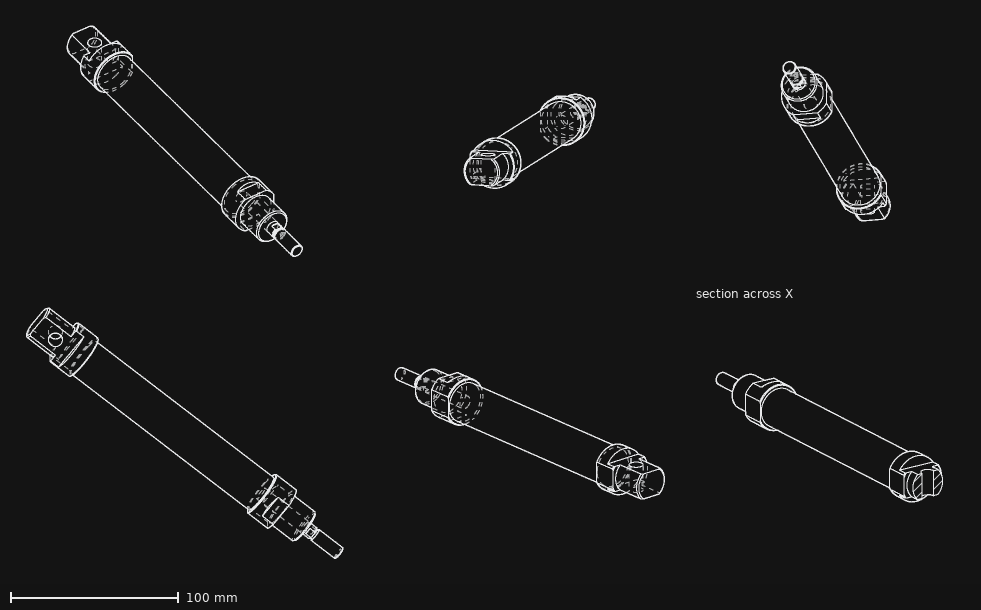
import cadquery as cq

total_length = 231.0
rear_face_x = -total_length / 2
rod_tip_x = total_length / 2

clevis_length = 20.0
clevis_diameter = 22.0
clevis_thickness = 16.2
clevis_step_length = 6.0
pin_hole_diameter = 8.3
pin_hole_offset = 14.0

collar_diameter = 29.0
collar_length = 15.5
collar_side_flat = 13.0

barrel_diameter = 24.5
barrel_length = 135.5

neck_length = 18.0
neck_diameter = 22.0
wrench_flat_width = 25.0
wrench_flat_length = 8.3
wrench_runout = 1.2

rod_diameter = 8.0
rod_flat_width = 7.0
rod_flat_length = 4.2
rod_flat_gap = 2.3
relief_diameter = 6.7
relief_length = 1.5

end_chamfer = 1.0
collar_chamfer = 0.5
rod_chamfer = 0.5

rear_collar_x = rear_face_x + clevis_length
barrel_start_x = rear_collar_x + collar_length
barrel_end_x = barrel_start_x + barrel_length
neck_x = barrel_end_x + collar_length
neck_end_x = neck_x + neck_length
rod_flat_x = neck_end_x + rod_flat_gap
shoulder_x = rod_flat_x + rod_flat_length
tip_section_x = shoulder_x + relief_length


def cylinder(start_x, end_x, diameter):
    """Solid cylinder on the X axis."""
    return cq.Workplane("YZ", origin=(start_x, 0, 0)).circle(diameter / 2).extrude(end_x - start_x)


def block_above(start_x, end_x, bottom_z):
    """Block from bottom_z upwards, taller and wider than any body."""
    return (
        cq.Workplane("XY", origin=((start_x + end_x) / 2, 0, bottom_z))
        .box(end_x - start_x, 2 * collar_diameter, collar_diameter, centered=(True, True, False))
    )


def cut_both_sides(body, cutter):
    """Cut with a cutter above the axis and with its mirror image below."""
    return body.cut(cutter).cut(cutter.mirror("XY"))


def make_collar(start_x, chamfered_ends):
    """Round collar with one flat on its +Y side; chamfered_ends selects the end faces to chamfer."""
    collar = cylinder(start_x, start_x + collar_length, collar_diameter)
    collar = collar.faces(chamfered_ends).chamfer(collar_chamfer)
    side_cutter = cq.Workplane("XY", origin=(start_x + collar_length / 2, collar_side_flat, 0)).box(
        collar_length, collar_diameter, 2 * collar_diameter, centered=(True, False, True)
    )
    return collar.cut(side_cutter)


def make_rear_cap():
    """Collar with a flat clevis tongue and a vertical pin hole."""
    tongue = cylinder(rear_face_x, rear_collar_x, clevis_diameter).faces("<X").chamfer(end_chamfer)
    cap = tongue.union(make_collar(rear_collar_x, "<X or >X"))
    flats = block_above(rear_face_x, rear_collar_x + clevis_step_length, clevis_thickness / 2)
    cap = cut_both_sides(cap, flats)
    pin_hole = (
        cq.Workplane("XY", origin=(rear_face_x + pin_hole_offset, 0, -collar_diameter))
        .circle(pin_hole_diameter / 2)
        .extrude(2 * collar_diameter)
    )
    return cap.cut(pin_hole)


def make_barrel():
    """Plain round barrel between the caps."""
    return cylinder(barrel_start_x, barrel_end_x, barrel_diameter)


def make_front_cap():
    """Collar with two wrench flats, a round neck and a bore for the rod."""
    neck = cylinder(neck_x, neck_end_x, neck_diameter).faces(">X").chamfer(end_chamfer)
    flat_z = wrench_flat_width / 2
    flat_x = neck_x - wrench_flat_length
    flat_cutter = (
        cq.Workplane("XZ", origin=(0, collar_diameter, 0))
        .moveTo(neck_x, flat_z)
        .lineTo(flat_x, flat_z)
        .lineTo(flat_x - wrench_runout, collar_diameter / 2)
        .lineTo(neck_x, collar_diameter / 2)
        .close()
        .extrude(2 * collar_diameter)
    )
    collar = cut_both_sides(make_collar(barrel_end_x, "<X"), flat_cutter)
    return collar.union(neck).cut(cylinder(barrel_end_x, neck_end_x, rod_diameter))


def make_rod():
    """Rod with two wrench flats, a relief groove and a plain round end section."""
    shank = cylinder(barrel_end_x, shoulder_x, rod_diameter).faces(">X").chamfer(rod_chamfer)
    flats = block_above(rod_flat_x, shoulder_x, rod_flat_width / 2)
    shank = cut_both_sides(shank, flats)
    relief = cylinder(shoulder_x, tip_section_x, relief_diameter)
    tip_section = cylinder(tip_section_x, rod_tip_x, rod_diameter).faces(">X").chamfer(rod_chamfer)
    return shank.union(relief).union(tip_section)


rear_cap = make_rear_cap()
barrel = make_barrel()
front_cap = make_front_cap()
rod = make_rod()

result = cq.Compound.makeCompound([rear_cap.val(), barrel.val(), front_cap.val(), rod.val()])